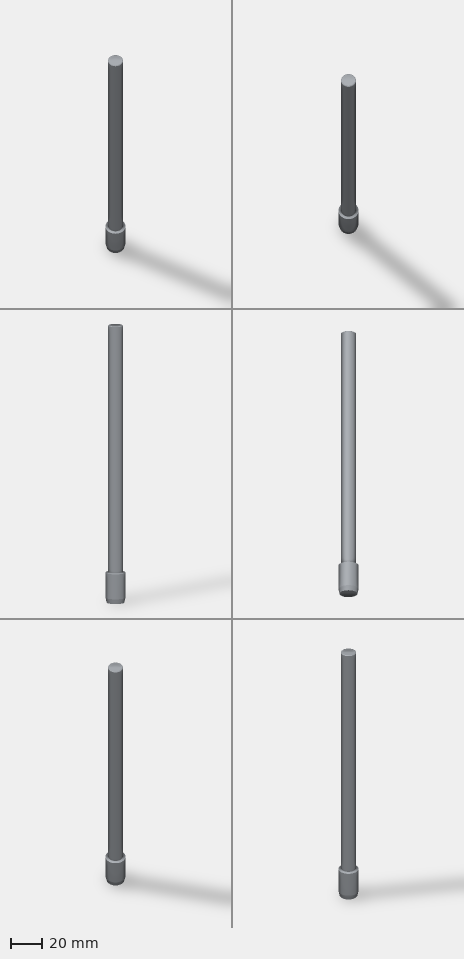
import cadquery as cq

total_length = 180.0
rod_diameter = 9.5
rod_chamfer_width = 0.5
rod_chamfer_height = 0.4
sleeve_diameter = 12.8
sleeve_length = 20.0
tip_diameter = 11.3
nose_length = 3.2
shoulder_diameter = 9.7
shoulder_height = 0.5


def make_rod():
    """Round rod with a chamfered top, standing on the upper end of the sleeve."""
    rod_length = total_length - sleeve_length
    return (
        cq.Workplane("XY")
        .workplane(offset=sleeve_length)
        .circle(rod_diameter / 2)
        .extrude(rod_length)
        .faces(">Z")
        .chamfer(rod_chamfer_height, rod_chamfer_width)
    )


def make_sleeve():
    """Round end piece with a tapered nose below and a sloped shoulder above."""
    sleeve_radius = sleeve_diameter / 2
    half_profile = [
        (0, 0),
        (tip_diameter / 2, 0),
        (sleeve_radius, nose_length),
        (sleeve_radius, sleeve_length - shoulder_height),
        (shoulder_diameter / 2, sleeve_length),
        (0, sleeve_length),
    ]
    return (
        cq.Workplane("XZ")
        .polyline(half_profile)
        .close()
        .revolve(360, (0, 0, 0), (0, 1, 0))
    )


rod = make_rod()
sleeve = make_sleeve()

result = cq.Compound.makeCompound([rod.val(), sleeve.val()])